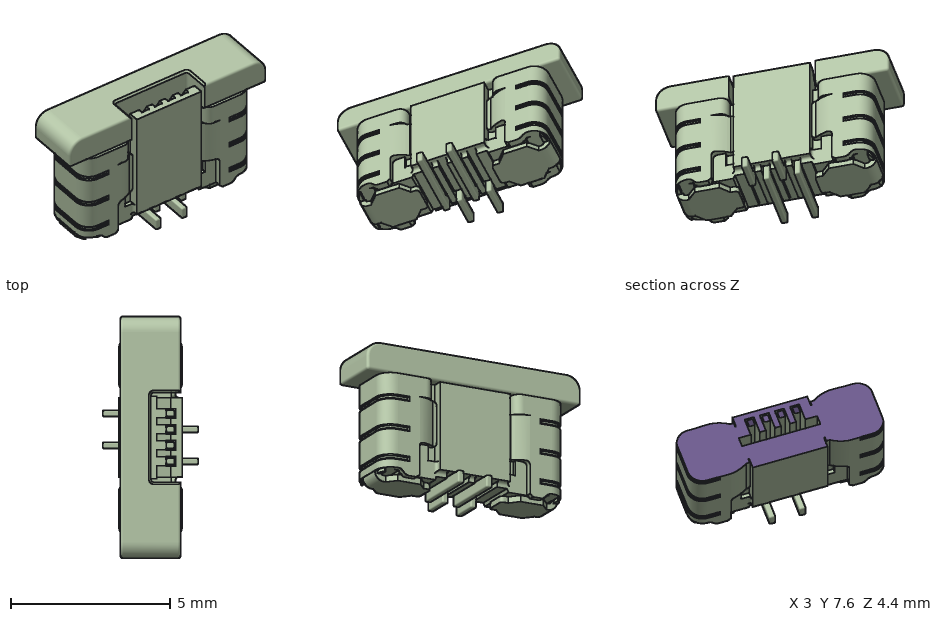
import cadquery as cq
import math


COVER_LENGTH = 7.6
COVER_WIDTH = 1.9
COVER_TOP = 4.4
COVER_BOTTOM = 3.45
COVER_END_RADIUS = 0.495
COVER_EDGE_RADIUS = 0.09
WINDOW_BACK = 0.015
WINDOW_HALF = 1.405
WINDOW_CORNER = 0.09
WINDOW_CHAMFER = 0.07

HALF_WIDTH = 1.0
HALF_LENGTH = 3.245
BLOCK_INNER = 1.445
BLOCK_END_RADIUS = 0.5
BLOCK_INNER_RADIUS = 0.29
BLOCK_BOTTOM = 0.32

GROOVE_HEIGHTS = (0.67, 1.665, 2.66)
GROOVE_DEPTH = 0.03
GROOVE_MOUTH = 0.16
GROOVE_FLOOR = 0.075
GROOVE_START = 2.325
GROOVE_FLOOR_START = 2.395

WEB_HALF = 0.65
SLAB_HALF = 1.25
SLAB_BOTTOM = 0.495
SLAB_TOP = 3.4
TONGUE_TOP = 4.255
TONGUE_TOP_INNER = 0.64
SKIRT_RADIUS = 0.09
SKIRT_TOP = 0.805
RECESS_FACE = 0.79
RECESS_HALF = 1.96
SEAT_Z = 0.205
SEAT_OUTER = 2.585
SEAT_INNER = 1.31
TOE_INNER = 0.495
TOE_BACK = 3.06
TOE_INSET = 0.045

LUG_TOP = 2.8
LUG_BOTTOM = 1.3
LUG_CORNER = 0.14
RECESS_CORNER = 0.15
LUG_CREST = 1.5
LUG_CREST_X = 0.86
LUG_MIDDLE = 1.73
LUG_MIDDLE_X = 0.96
LUG_FOOT = 1.38
POCKET_HALF = 1.55

SKID_BOTTOM = 0.115
SKID_FLAT_INNER = 2.07
SKID_FLAT_OUTER = 2.355
SKID_OUTER = 2.735

SLOT_HALF = 1.29
SLOT_FRONT = 0.19
SLOT_THICKNESS = 0.305
SLOT_FLOOR = 1.0
CONTACT_COUNT = 4
CONTACT_PITCH = 0.5
CONTACT_WIDTH = 0.205
CONTACT_BACK = 0.495
CONTACT_THICKNESS = 0.26
CONTACT_TOP = 3.04
CONTACT_EDGE = 0.05
TAIL_SPAN = 3.0
TAIL_REACH = TAIL_SPAN / 2
TAIL_HEIGHT = 0.4
CAVITY_WIDTH = 0.29
CAVITY_FRONT = 0.79

TAB_THICKNESS = SEAT_Z
TAB_INNER = SLAB_HALF
TAB_NECK_HALF = 0.4
TAB_WIDE_HALF = 0.71
TAB_OUTER_SHOULDER = 2.865
TAB_WIDE_OUTER = 2.585
TAB_WIDE_INNER = 1.78
TAB_INNER_SHOULDER = 1.505
TAB_CORNER = 0.115
TAB_BEND_INNER_RADIUS = BLOCK_BOTTOM - TAB_THICKNESS


def box(x0, x1, y0, y1, z0, z1):
    """Box between the given limits."""
    return cq.Workplane("XY").box(x1 - x0, y1 - y0, z1 - z0, centered=False).translate((x0, y0, z0))


def on_four_corners(shape):
    """The shape at +X +Y repeated in all four quadrants of the plan."""
    pair = shape.union(shape.mirror("YZ"))
    return pair.union(pair.mirror("XZ"))


def end_block(inset=0):
    """Block at +Y with large outer corners and smaller inner corners, set in all round by inset."""
    half_width = HALF_WIDTH - inset
    block = box(-half_width, half_width, BLOCK_INNER + inset, HALF_LENGTH - inset, BLOCK_BOTTOM, COVER_BOTTOM)
    block = block.edges("|Z and >Y").fillet(BLOCK_END_RADIUS - inset)
    return block.edges("|Z and <Y").fillet(BLOCK_INNER_RADIUS - inset)


def groove_outline(z, depth):
    """Closed outline of the +Y block end at height z, set in by depth past the groove start."""
    x = HALF_WIDTH - depth
    y = HALF_LENGTH - depth
    radius = BLOCK_END_RADIUS - depth
    corner_x = x - radius
    corner_y = y - radius
    offset = radius * math.sqrt(0.5)
    return (
        cq.Workplane("XY", origin=(0, 0, z))
        .moveTo(-HALF_WIDTH, BLOCK_INNER)
        .lineTo(HALF_WIDTH, BLOCK_INNER)
        .lineTo(HALF_WIDTH, GROOVE_START)
        .lineTo(x, GROOVE_FLOOR_START)
        .lineTo(x, corner_y)
        .threePointArc((corner_x + offset, corner_y + offset), (corner_x, y))
        .lineTo(-corner_x, y)
        .threePointArc((-corner_x - offset, corner_y + offset), (-x, corner_y))
        .lineTo(-x, GROOVE_FLOOR_START)
        .lineTo(-HALF_WIDTH, GROOVE_START)
        .close()
        .val()
    )


def groove_cutter(z):
    """Trapezoidal band wrapped round the +Y block end, centred on height z."""
    levels = (
        (z - GROOVE_MOUTH / 2, 0),
        (z - GROOVE_FLOOR / 2, GROOVE_DEPTH),
        (z + GROOVE_FLOOR / 2, GROOVE_DEPTH),
        (z + GROOVE_MOUTH / 2, 0),
    )
    outlines = [groove_outline(height, depth) for height, depth in levels]
    core = cq.Workplane(cq.Solid.makeLoft(outlines, True))
    band = box(
        -HALF_WIDTH, HALF_WIDTH, GROOVE_START, HALF_LENGTH, z - GROOVE_MOUTH / 2, z + GROOVE_MOUTH / 2
    )
    return band.cut(core)


def low_setback():
    """Space at +X +Y under the lug, with a rounded top corner away from the slab."""
    space = box(0, HALF_WIDTH, SLAB_HALF, RECESS_HALF, BLOCK_BOTTOM, LUG_BOTTOM)
    return space.edges("|X and >Y and >Z").fillet(RECESS_CORNER)


def latch_lug():
    """Lug at +X +Y: a curved side that runs in to a low flat beside the slab."""
    lug = (
        cq.Workplane("XY", origin=(0, 0, BLOCK_BOTTOM))
        .moveTo(0, SLAB_HALF)
        .lineTo(RECESS_FACE, SLAB_HALF)
        .lineTo(RECESS_FACE, LUG_FOOT)
        .lineTo(LUG_CREST_X, LUG_CREST)
        .threePointArc((LUG_MIDDLE_X, LUG_MIDDLE), (HALF_WIDTH, RECESS_HALF))
        .lineTo(0, RECESS_HALF)
        .close()
        .extrude(LUG_TOP - BLOCK_BOTTOM)
        .cut(low_setback())
    )
    lug = lug.edges("|X and <Y").fillet(LUG_CORNER)
    return lug.intersect(box(WEB_HALF, HALF_WIDTH, SLAB_HALF, RECESS_HALF, BLOCK_BOTTOM, LUG_TOP))


def side_recess():
    """Part of the block at +X +Y removed below the lug and round its curved side."""
    return box(RECESS_FACE, HALF_WIDTH, BLOCK_INNER, RECESS_HALF, BLOCK_BOTTOM, LUG_TOP).cut(latch_lug())


def foot():
    """Underside at +Y that stands on the solder tab."""
    return (
        cq.Workplane("YZ")
        .moveTo(SLAB_HALF, BLOCK_BOTTOM)
        .lineTo(SEAT_INNER, SEAT_Z)
        .lineTo(SEAT_OUTER, SEAT_Z)
        .lineTo(SEAT_OUTER, BLOCK_BOTTOM)
        .close()
        .extrude(RECESS_FACE, both=True)
    )


def toes():
    """Two stubs under the +Y block's rounded end corners, one on each side of the solder tab."""
    plan = end_block(TOE_INSET).translate((0, 0, SEAT_Z - BLOCK_BOTTOM))
    right = box(TOE_INNER, RECESS_FACE, TOE_BACK, HALF_LENGTH, SEAT_Z, BLOCK_BOTTOM)
    return plan.intersect(right.union(right.mirror("YZ")))


def skid():
    """Runner under the outer side of the block at +X +Y."""
    middle_y = (SKID_FLAT_OUTER + SKID_OUTER) / 2
    middle_z = (SKID_BOTTOM + BLOCK_BOTTOM) / 2
    return (
        cq.Workplane("YZ", origin=(RECESS_FACE, 0, 0))
        .moveTo(RECESS_HALF, BLOCK_BOTTOM)
        .lineTo(RECESS_HALF, SEAT_Z)
        .lineTo(SKID_FLAT_INNER, SKID_BOTTOM)
        .lineTo(SKID_FLAT_OUTER, SKID_BOTTOM)
        .spline([(middle_y, middle_z), (SKID_OUTER, BLOCK_BOTTOM)], tangents=[(1, 0), (1, 0)],
                includeCurrent=True)
        .close()
        .extrude(HALF_WIDTH - RECESS_FACE)
    )


def skirt():
    """Foot of the slab at +X, with a hollow fillet along its sides and bottom."""
    base = box(0, RECESS_FACE, -RECESS_HALF, RECESS_HALF, BLOCK_BOTTOM, SKIRT_TOP)
    slab_foot = box(0, HALF_WIDTH, -SLAB_HALF, SLAB_HALF, SLAB_BOTTOM, SKIRT_TOP)
    joint = cq.selectors.BoxSelector(
        (RECESS_FACE - SKIRT_RADIUS, -SLAB_HALF - SKIRT_RADIUS, SLAB_BOTTOM - SKIRT_RADIUS),
        (RECESS_FACE + SKIRT_RADIUS, SLAB_HALF + SKIRT_RADIUS, SKIRT_TOP - SKIRT_RADIUS),
    )
    return base.union(slab_foot).edges(joint).fillet(SKIRT_RADIUS)


def tongue():
    """Upright guide at +X whose sloped inner face leads the cable into the slot."""
    return (
        cq.Workplane("XZ", origin=(0, SLAB_HALF, 0))
        .moveTo(SLOT_FRONT, SLAB_TOP)
        .lineTo(SLOT_FRONT, COVER_BOTTOM)
        .lineTo(TONGUE_TOP_INNER, TONGUE_TOP)
        .lineTo(HALF_WIDTH, TONGUE_TOP)
        .lineTo(HALF_WIDTH, SLAB_TOP)
        .close()
        .extrude(2 * SLAB_HALF)
    )


def contact_positions():
    """Y of each contact, from the +Y end."""
    return [CONTACT_PITCH * ((CONTACT_COUNT - 1) / 2 - index) for index in range(CONTACT_COUNT)]


def contact_cavity(y):
    """Clearance round one contact: notch behind the slot, shaft down and groove for the tail."""
    y0 = y - CAVITY_WIDTH / 2
    y1 = y + CAVITY_WIDTH / 2
    notch = box(SLOT_FRONT, CAVITY_FRONT, y0, y1, SLOT_FLOOR, TONGUE_TOP)
    shaft = box(CONTACT_BACK, CAVITY_FRONT, y0, y1, BLOCK_BOTTOM, TONGUE_TOP)
    gutter = box(-HALF_WIDTH, HALF_WIDTH, y0, y1, BLOCK_BOTTOM, SLAB_BOTTOM)
    return notch.union(shaft).union(gutter)


def make_housing():
    """Body with two grooved end blocks, a slab on each side and the slotted tongue."""
    block = end_block()
    for height in GROOVE_HEIGHTS:
        block = block.cut(groove_cutter(height))
    housing = block.union(block.mirror("XZ"))
    housing = housing.union(box(-WEB_HALF, WEB_HALF, -BLOCK_INNER, BLOCK_INNER, BLOCK_BOTTOM, SLAB_TOP))
    housing = housing.cut(on_four_corners(side_recess()))
    pocket = box(WEB_HALF, HALF_WIDTH, SLAB_HALF, POCKET_HALF, SKIRT_TOP, LUG_BOTTOM)
    housing = housing.cut(on_four_corners(pocket))
    housing = housing.union(on_four_corners(latch_lug()))
    housing = housing.union(on_four_corners(skid()))
    housing = housing.union(foot()).union(foot().mirror("XZ"))
    housing = housing.union(toes()).union(toes().mirror("XZ"))
    housing = housing.union(skirt()).union(skirt().mirror("YZ"))
    housing = housing.union(box(-HALF_WIDTH, HALF_WIDTH, -SLAB_HALF, SLAB_HALF, SLAB_BOTTOM, SLAB_TOP))
    housing = housing.union(tongue())
    housing = housing.cut(
        box(SLOT_FRONT - SLOT_THICKNESS, SLOT_FRONT, -SLOT_HALF, SLOT_HALF, SLOT_FLOOR, COVER_BOTTOM)
    )
    for y in contact_positions():
        housing = housing.cut(contact_cavity(y))
    return housing


def make_cover():
    """Rounded cap with a window open to +X for the cable and the tongue."""
    half_width = COVER_WIDTH / 2
    half_length = COVER_LENGTH / 2
    cover = box(-half_width, half_width, -half_length, half_length, COVER_BOTTOM, COVER_TOP)
    cover = cover.edges("|X and >Z").fillet(COVER_END_RADIUS)
    cover = cover.faces("<X or >X or <Z").edges().fillet(COVER_EDGE_RADIUS)
    window = box(WINDOW_BACK, COVER_WIDTH, -WINDOW_HALF, WINDOW_HALF, COVER_BOTTOM, COVER_TOP)
    window = window.edges("|Z and <X").fillet(WINDOW_CORNER)
    rim = window.faces("<Z").wires().toPending().extrude(WINDOW_CHAMFER, taper=-45, combine=False)
    rim = rim.translate((0, 0, COVER_TOP - WINDOW_CHAMFER - COVER_BOTTOM))
    return cover.cut(window).cut(rim)


def make_contact(y, side):
    """Upright blade with a solder tail that runs out to the given side of X."""
    y0 = y - CONTACT_WIDTH / 2
    y1 = y + CONTACT_WIDTH / 2
    front = CONTACT_BACK + CONTACT_THICKNESS
    blade = box(CONTACT_BACK, front, y0, y1, 0, CONTACT_TOP)
    if side > 0:
        tail = box(CONTACT_BACK, TAIL_REACH, y0, y1, 0, TAIL_HEIGHT)
    else:
        tail = box(-TAIL_REACH, front, y0, y1, 0, TAIL_HEIGHT)
    contact = blade.union(tail)
    return contact.edges("not >Z").fillet(CONTACT_EDGE)


def make_solder_tab(end):
    """Flat plate under one end block, bent up at its outer end; end is +1 or -1 along Y."""
    bend = TAB_BEND_INNER_RADIUS
    outer_radius = bend + TAB_THICKNESS
    half_plan = [
        (TAB_NECK_HALF, TAB_INNER),
        (TAB_NECK_HALF, TAB_INNER_SHOULDER),
        (TAB_WIDE_HALF, TAB_WIDE_INNER),
        (TAB_WIDE_HALF, TAB_WIDE_OUTER),
        (TAB_NECK_HALF, TAB_OUTER_SHOULDER),
        (TAB_NECK_HALF, HALF_LENGTH),
    ]
    other_half = [(-x, y) for x, y in reversed(half_plan)]
    plan = cq.Workplane("XY").polyline(half_plan + other_half).close().extrude(BLOCK_BOTTOM)
    plan = plan.edges("|Z and <Y").fillet(TAB_CORNER)
    diagonal = math.sqrt(0.5)
    centre_y = HALF_LENGTH - outer_radius
    profile = (
        cq.Workplane("YZ")
        .moveTo(TAB_INNER, 0)
        .lineTo(centre_y, 0)
        .threePointArc(
            (centre_y + outer_radius * diagonal, BLOCK_BOTTOM - outer_radius * diagonal),
            (HALF_LENGTH, BLOCK_BOTTOM),
        )
        .lineTo(centre_y + bend, BLOCK_BOTTOM)
        .threePointArc(
            (centre_y + bend * diagonal, BLOCK_BOTTOM - bend * diagonal),
            (centre_y, TAB_THICKNESS),
        )
        .lineTo(TAB_INNER, TAB_THICKNESS)
        .close()
        .extrude(TAB_WIDE_HALF, both=True)
    )
    tab = plan.intersect(profile)
    return tab if end > 0 else tab.mirror("XZ")


housing = make_housing()
cover = make_cover()
contacts = [
    make_contact(y, -1 if index % 2 == 0 else 1) for index, y in enumerate(contact_positions())
]
solder_tabs = [make_solder_tab(end) for end in (1, -1)]

result = cq.Compound.makeCompound([
    housing.val(),
    cover.val(),
    *[contact.val() for contact in contacts],
    *[tab.val() for tab in solder_tabs],
])